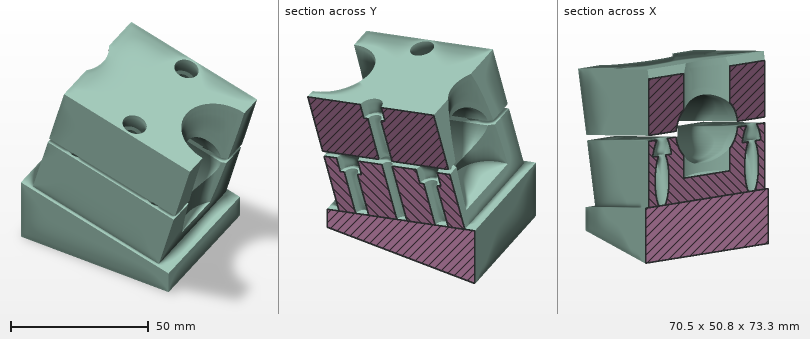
import cadquery as cq
import math

tilt = 15.0
base_length = 62.35
base_width = 50.8
base_height = 25.5

block_length = 55.0
block_width = 48.0
block_height = 24.35
gap = 2.0
block_setback = 4.4
block_top = 2 * block_height + gap

bore_diameter = 25.2

relief_radius = 14.9
relief_left_x = 4.9
relief_spacing = 65.05
relief_floor_rise = 5.8

bolt_y = 18.5
counterbore_diameter = 9.0
clearance_diameter = 5.5
thread_diameter = 4.2
counterbore_depth = 6.0
mount_offset = 17.3


def place_on_slope(shape):
    """Move a shape from the slope frame to its place on the wedge."""
    return (
        shape.translate((block_setback, 0, 0))
        .rotate((0, 0, 0), (0, 1, 0), tilt)
        .translate((0, 0, base_height))
    )


def clamp_block(bottom):
    return (
        cq.Workplane("XY")
        .box(block_length, block_width, block_height, centered=(False, True, False))
        .translate((0, 0, bottom))
    )


def hole(x, y, top, diameter, depth):
    """Cylinder going down from the given level of the slope frame."""
    return (
        cq.Workplane("XY", origin=(x, y, top))
        .circle(diameter / 2)
        .extrude(-depth)
    )


def clamp_bore():
    return (
        cq.Workplane("YZ", origin=(0, 0, block_top / 2))
        .circle(bore_diameter / 2)
        .extrude(block_length)
    )


def relief(x, floor):
    return (
        cq.Workplane("XY", origin=(x, 0, floor))
        .circle(relief_radius)
        .extrude(base_height + block_top)
    )


def end_reliefs():
    """Two vertical cylinders, each with a level floor a set height above the clamp's lower corner."""
    angle = math.radians(tilt)
    left_floor = base_height - block_setback * math.sin(angle) + relief_floor_rise
    right_floor = left_floor - block_length * math.sin(angle)
    left = relief(relief_left_x, left_floor)
    right = relief(relief_left_x + relief_spacing, right_floor)
    return left.union(right)


def make_wedge_base():
    low_height = base_height - base_length * math.tan(math.radians(tilt))
    return (
        cq.Workplane("XZ", origin=(0, base_width / 2, 0))
        .polyline([(0, 0), (base_length, 0), (base_length, low_height), (0, base_height)])
        .close()
        .extrude(base_width)
    )


def make_lower_clamp():
    block = clamp_block(0).cut(clamp_bore())
    middle = block_length / 2
    for y in (-bolt_y, bolt_y):
        block = block.cut(hole(middle, y, block_height, thread_diameter, block_height))
        for x in (middle - mount_offset, middle + mount_offset):
            block = block.cut(hole(x, y, block_height, clearance_diameter, block_height))
            block = block.cut(hole(x, y, block_height, counterbore_diameter, counterbore_depth))
    return place_on_slope(block).cut(end_reliefs())


def make_upper_clamp():
    block = clamp_block(block_height + gap).cut(clamp_bore())
    for y in (-bolt_y, bolt_y):
        block = block.cut(hole(block_length / 2, y, block_top, clearance_diameter, block_height))
        block = block.cut(hole(block_length / 2, y, block_top, counterbore_diameter, counterbore_depth))
    return place_on_slope(block).cut(end_reliefs())


wedge_base = make_wedge_base()
lower_clamp = make_lower_clamp()
upper_clamp = make_upper_clamp()

result = cq.Compound.makeCompound([wedge_base.val(), lower_clamp.val(), upper_clamp.val()])